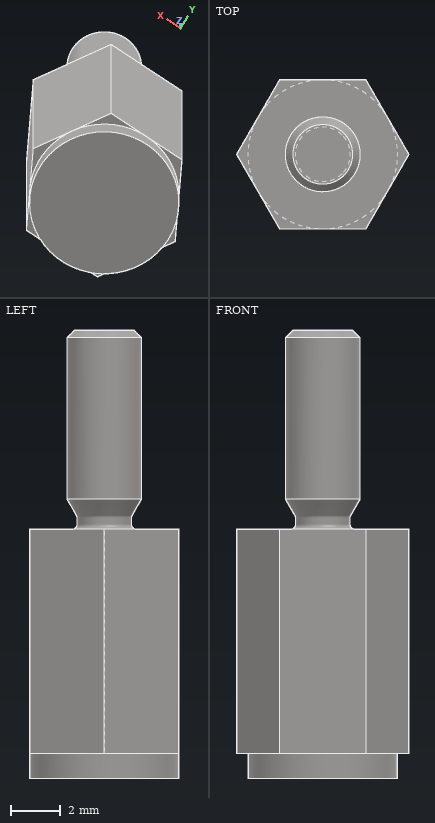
import cadquery as cq
import math

total_height = 18.0
collar_height = 1.0
hex_height = 9.0
hex_top = collar_height + hex_height

across_flats = 6.0
across_corners = across_flats / math.cos(math.radians(30))

stud_radius = 3.0 / 2
tip_radius = 2.4 / 2
tip_chamfer = stud_radius - tip_radius
neck_radius = 2.2 / 2
fillet_radius = 0.2
cone_angle = math.radians(30)
relief_height = 1.2


def make_body():
    collar = cq.Workplane("XY").circle(across_flats / 2).extrude(collar_height)
    hexagon = (
        cq.Workplane("XY")
        .workplane(offset=collar_height)
        .polygon(6, across_corners)
        .extrude(hex_height)
    )
    return collar.union(hexagon)


def upper_fillet_point(angle, start_z):
    """Point on the fillet between neck and cone, at an angle above its start."""
    radius = neck_radius + fillet_radius * (1 - math.cos(angle))
    return radius, start_z + fillet_radius * math.sin(angle)


def make_stud():
    cone_top = hex_top + relief_height
    cone_start_radius = upper_fillet_point(cone_angle, 0)[0]
    cone_height = (stud_radius - cone_start_radius) / math.tan(cone_angle)
    neck_top = cone_top - cone_height - fillet_radius * math.sin(cone_angle)

    root_radius = neck_radius + fillet_radius
    root_z = hex_top + fillet_radius
    half_diagonal = fillet_radius * math.sqrt(0.5)
    root_middle = (root_radius - half_diagonal, root_z - half_diagonal)

    profile = (
        cq.Workplane("XZ")
        .moveTo(0, collar_height)
        .lineTo(root_radius, collar_height)
        .lineTo(root_radius, hex_top)
        .threePointArc(root_middle, (neck_radius, root_z))
        .lineTo(neck_radius, neck_top)
        .threePointArc(
            upper_fillet_point(cone_angle / 2, neck_top),
            upper_fillet_point(cone_angle, neck_top),
        )
        .lineTo(stud_radius, cone_top)
        .lineTo(stud_radius, total_height - tip_chamfer)
        .lineTo(tip_radius, total_height)
        .lineTo(0, total_height)
        .close()
    )
    return profile.revolve(360, (0, 0, 0), (0, 1, 0))


result = make_body().union(make_stud())